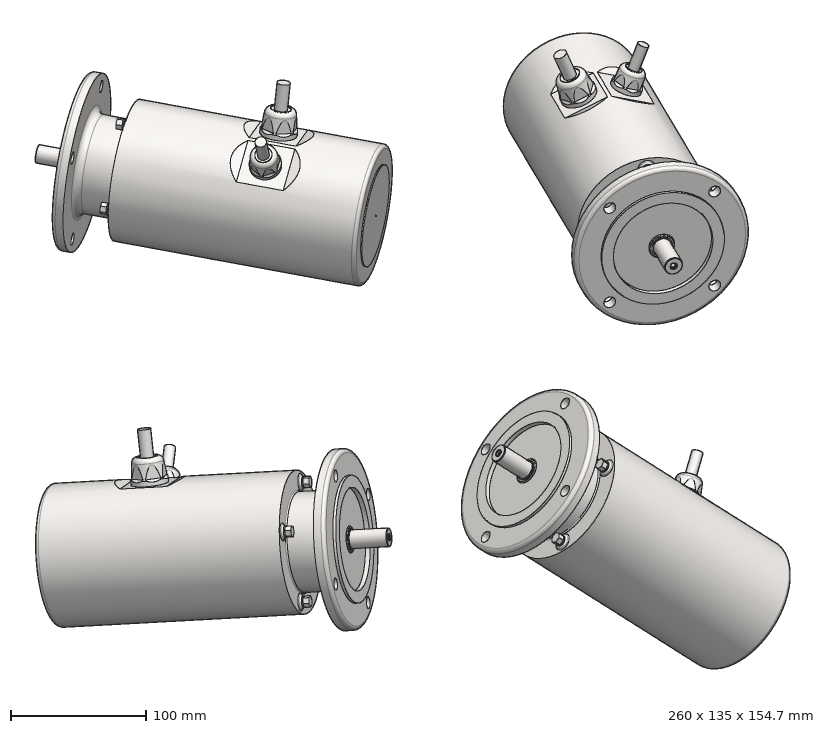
import cadquery as cq
import math

spigot_face_x = 26.8
recess_floor_x = 30.5
flange_face_x = 29.0
flange_back_x = 38.0
barrel_front_x = 68.8
barrel_back_x = 258.5
rear_pad_x = 259.5
overall_length = 260.0

shaft_diameter = 14.0
shaft_chamfer = 0.5
shaft_collar_diameter = 20.0
collar_step_diameter = 16.0
collar_height = 1.0
collar_chamfer = 0.75
step_height = 0.5
spigot_diameter = 95.0
recess_diameter = 77.0
flange_diameter = 135.0
flange_edge_radius = 3.0
neck_diameter = 75.0
neck_front_radius = 6.0
neck_rear_radius = 1.0
barrel_diameter = 107.0
barrel_edge_radius = 3.0
rear_pad_diameter = 77.0
rear_tip_diameter = 0.8

centre_mouth_diameter = 5.6
centre_bore_diameter = 4.5
centre_bore_depth = 2.0
centre_hole_diameter = 3.43
centre_hole_depth = 10.0

hex_sides = 6
flange_hole_diameter = 9.0
flange_hole_circle = 115.0
flange_hole_count = 4
bolt_circle = 90.0
bolt_count = 4
bolt_diameter = 8.7
bolt_skirt_diameter = 11.8
bolt_skirt_x = 66.9
bolt_foot_diameter = 13.5
bolt_foot_thickness = 0.7
bolt_front_x = 61.2
bolt_hex_length = 4.7

seat_tilt = 21.0
seat_height = 50.5
seat_length = 36.0
seat_x = 180.0
seat_end_slope = 20.0
seat_cutter_clearance = 1.0

power_gland_base_diameter = 28.0
power_gland_top_diameter = 23.0
power_gland_height = 20.4
power_gland_bore_diameter = 15.4
power_cable_diameter = 10.0
power_cable_end = 91.5
signal_gland_base_diameter = 24.0
signal_gland_top_diameter = 19.4
signal_gland_height = 17.6
signal_gland_bore_diameter = 12.8
signal_cable_diameter = 8.7
signal_cable_end = 88.5
gland_base_height = 4.0
base_shoulder = 0.5
base_shoulder_height = 1.0
ledge_rise = 1.0
ledge_drop = 2.0
gland_bore_depth = 0.8


def disc(x_start, x_end, diameter):
    """Cylinder on the motor axis between two X stations."""
    return (
        cq.Workplane("YZ", origin=(x_start, 0, 0))
        .circle(diameter / 2)
        .extrude(x_end - x_start)
    )


def make_flange():
    """Mounting flange with a rounded front edge and a recessed spigot."""
    flange = disc(flange_face_x, flange_back_x, flange_diameter)
    flange = flange.faces("<X").edges().fillet(flange_edge_radius)
    flange = flange.union(disc(spigot_face_x, flange_face_x, spigot_diameter))
    return flange.cut(disc(spigot_face_x, recess_floor_x, recess_diameter))


def make_neck():
    """Neck between flange and barrel, flared by a concave fillet at each end."""
    radius = neck_diameter / 2
    diagonal = math.sqrt(0.5)
    front = neck_front_radius
    rear = neck_rear_radius
    return (
        cq.Workplane("XY")
        .moveTo(flange_back_x, 0)
        .lineTo(flange_back_x, radius + front)
        .threePointArc(
            (flange_back_x + front * (1 - diagonal), radius + front * (1 - diagonal)),
            (flange_back_x + front, radius),
        )
        .lineTo(barrel_front_x - rear, radius)
        .threePointArc(
            (barrel_front_x - rear * (1 - diagonal), radius + rear * (1 - diagonal)),
            (barrel_front_x, radius + rear),
        )
        .lineTo(barrel_front_x, 0)
        .close()
        .revolve(360, (0, 0, 0), (1, 0, 0))
    )


def make_barrel():
    """Motor barrel with a rounded rear edge, a thin rear pad and a tiny tip at its centre."""
    barrel = disc(barrel_front_x, barrel_back_x, barrel_diameter)
    barrel = barrel.faces(">X").edges().fillet(barrel_edge_radius)
    barrel = barrel.union(disc(barrel_back_x, rear_pad_x, rear_pad_diameter))
    return barrel.union(disc(rear_pad_x, overall_length, rear_tip_diameter))


def make_shaft():
    """Shaft with a stepped collar at its root and a drilled centre hole in its end."""
    shaft = disc(0, recess_floor_x, shaft_diameter).faces("<X").chamfer(shaft_chamfer)
    collar = disc(recess_floor_x - collar_height, recess_floor_x, shaft_collar_diameter)
    collar = collar.faces("<X").chamfer(collar_chamfer)
    step_front_x = recess_floor_x - collar_height - step_height
    collar = collar.union(disc(step_front_x, recess_floor_x, collar_step_diameter))
    countersink_depth = (centre_mouth_diameter - centre_bore_diameter) / 2
    centre_hole = (
        cq.Workplane("XY")
        .lineTo(0, centre_mouth_diameter / 2)
        .lineTo(countersink_depth, centre_bore_diameter / 2)
        .lineTo(centre_bore_depth, centre_bore_diameter / 2)
        .lineTo(centre_bore_depth, centre_hole_diameter / 2)
        .lineTo(centre_hole_depth, centre_hole_diameter / 2)
        .lineTo(centre_hole_depth + centre_hole_diameter / 2, 0)
        .close()
        .revolve(360, (0, 0, 0), (1, 0, 0))
    )
    return shaft.union(collar).cut(centre_hole)


def make_bolt():
    """Hex head on a round collar that flares out to a foot on the barrel front; built on the motor axis."""
    foot_front_x = barrel_front_x - bolt_foot_thickness
    radius = bolt_diameter / 2
    foot = (
        cq.Workplane("XY")
        .moveTo(bolt_front_x + bolt_hex_length, 0)
        .lineTo(bolt_front_x + bolt_hex_length, radius)
        .lineTo(bolt_skirt_x, radius)
        .lineTo(foot_front_x, bolt_skirt_diameter / 2)
        .lineTo(barrel_front_x, bolt_foot_diameter / 2)
        .lineTo(barrel_front_x, 0)
        .close()
        .revolve(360, (0, 0, 0), (1, 0, 0))
    )
    head = (
        cq.Workplane("YZ", origin=(bolt_front_x, 0, 0))
        .polygon(hex_sides, bolt_diameter)
        .extrude(bolt_hex_length)
    )
    return foot.union(head)


def on_seat(shape, side):
    """Moves a shape built upright on the motor axis to a gland seat; side is +1 or -1 along Y."""
    return shape.translate((seat_x, 0, 0)).rotate((0, 0, 0), (1, 0, 0), -side * seat_tilt)


def make_seat_cutter():
    """Flat-bottomed pocket with sloped ends, open to the outside of the barrel."""
    depth = barrel_diameter / 2 - seat_height + seat_cutter_clearance
    end_run = depth / math.tan(math.radians(seat_end_slope))
    half = seat_length / 2
    return (
        cq.Workplane("XZ")
        .polyline(
            [
                (-half, seat_height),
                (half, seat_height),
                (half + end_run, seat_height + depth),
                (-half - end_run, seat_height + depth),
            ]
        )
        .close()
        .extrude(barrel_diameter / 2, both=True)
    )


def make_gland(base_diameter, top_diameter, height, bore_diameter, cable_diameter, cable_end):
    """Upright gland: round base, tapered nut with six flats, rounded top and the cable."""
    base_radius = base_diameter / 2
    top_z = seat_height + height
    base_z = seat_height + gland_base_height
    nut_z = base_z + base_shoulder_height
    nut_radius = base_radius - base_shoulder
    gland = (
        cq.Workplane("XZ")
        .moveTo(0, seat_height)
        .lineTo(base_radius, seat_height)
        .lineTo(base_radius, base_z)
        .lineTo(nut_radius, nut_z)
        .lineTo(top_diameter / 2, top_z)
        .lineTo(0, top_z)
        .close()
        .revolve(360, (0, 0, 0), (0, 1, 0))
    )
    taper = math.atan2(nut_radius - top_diameter / 2, top_z - nut_z)
    round_width = (top_diameter - bore_diameter) / 2
    round_radius = round_width * math.tan(math.pi / 4 + taper / 2)
    gland = gland.faces(">Z").edges().fillet(round_radius)
    flat_radius = base_radius * math.cos(math.pi / hex_sides)
    ledge_z = base_z + ledge_rise
    ledge_width = base_radius - flat_radius
    flat_cutter = (
        cq.Workplane("XZ")
        .moveTo(flat_radius, ledge_z)
        .lineTo(base_radius, ledge_z - ledge_drop)
        .lineTo(base_radius + ledge_width, ledge_z - ledge_drop)
        .lineTo(base_radius + ledge_width, top_z)
        .lineTo(flat_radius, top_z)
        .close()
        .extrude(base_radius, both=True)
    )
    for i in range(hex_sides):
        gland = gland.cut(flat_cutter.rotate((0, 0, 0), (0, 0, 1), i * 360 / hex_sides))
    bore = (
        cq.Workplane("XY", origin=(0, 0, top_z - gland_bore_depth))
        .circle(bore_diameter / 2)
        .extrude(gland_bore_depth)
    )
    cable = (
        cq.Workplane("XY", origin=(0, 0, seat_height))
        .circle(cable_diameter / 2)
        .extrude(cable_end - seat_height)
    )
    return gland.cut(bore).union(cable)


motor = make_flange().union(make_neck()).union(make_barrel()).union(make_shaft())

bolt = make_bolt().translate((0, bolt_circle / 2, 0))
for i in range(bolt_count):
    motor = motor.union(bolt.rotate((0, 0, 0), (1, 0, 0), i * 360 / bolt_count))

flange_hole = disc(flange_face_x, flange_back_x + neck_front_radius, flange_hole_diameter)
flange_hole = flange_hole.translate((0, flange_hole_circle / 2, 0))
for i in range(flange_hole_count):
    motor = motor.cut(flange_hole.rotate((0, 0, 0), (1, 0, 0), (i + 0.5) * 360 / flange_hole_count))

for side in (1, -1):
    motor = motor.cut(on_seat(make_seat_cutter(), side))

power_gland = make_gland(
    power_gland_base_diameter,
    power_gland_top_diameter,
    power_gland_height,
    power_gland_bore_diameter,
    power_cable_diameter,
    power_cable_end,
)
power_gland = on_seat(power_gland, 1)

signal_gland = make_gland(
    signal_gland_base_diameter,
    signal_gland_top_diameter,
    signal_gland_height,
    signal_gland_bore_diameter,
    signal_cable_diameter,
    signal_cable_end,
)
signal_gland = on_seat(signal_gland, -1)

result = cq.Compound.makeCompound([motor.val(), power_gland.val(), signal_gland.val()])